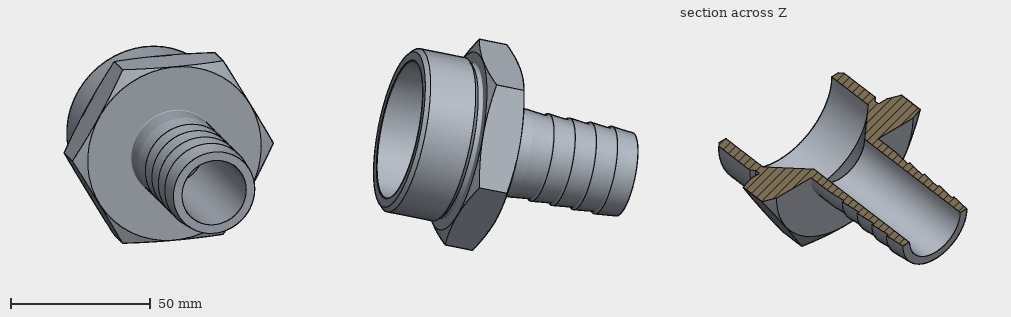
import cadquery as cq
import math

TOTAL_LENGTH = 85.0
HEX_START = 21.9
HEX_END = 36.0
THREAD_LENGTH = 20.0

THREAD_DIAMETER = 59.61
THREAD_ROOT_DIAMETER = 56.65
THREAD_CHAMFER = (THREAD_DIAMETER - THREAD_ROOT_DIAMETER) / 2

ACROSS_FLATS = 65.0
ACROSS_CORNERS = ACROSS_FLATS / math.cos(math.radians(30))
HEX_FACE_DIAMETER = 64.8
HEX_CHAMFER_ANGLE = 20.0
HEX_CORNER_FILLET = 0.3

TAIL_DIAMETER = 32.0
BARB_COUNT = 5
BARB_PITCH = 8.0
BARB_ROOT_DIAMETER = 30.4
BARB_FILLET = 0.5
BARBS_START = TOTAL_LENGTH - BARB_COUNT * BARB_PITCH

WIDE_BORE_DIAMETER = 50.0
WIDE_BORE_DEPTH = 20.0
WIDE_BORE_CHAMFER = 0.25
NARROW_BORE_DIAMETER = 24.0
FUNNEL_ANGLE = 45.0


def start_outline(x, radius):
    """Begin a half outline on the X axis and rise to the given radius."""
    return cq.Workplane("XY").moveTo(x, 0).lineTo(x, radius)


def spin(outline, x_end):
    """Bring a half outline back to the X axis at x_end and revolve it about that axis."""
    return outline.lineTo(x_end, 0).close().revolve(360, (0, 0, 0), (1, 0, 0))


def fillet_up(outline, wall_x, floor_radius, fillet):
    """Continue an outline in +X, curving from a cylinder up into a wall at wall_x."""
    middle = fillet * (1 - math.sqrt(0.5))
    outline = outline.lineTo(wall_x - fillet, floor_radius)
    return outline.threePointArc(
        (wall_x - middle, floor_radius + middle),
        (wall_x, floor_radius + fillet),
    )


def fillet_down(outline, wall_x, floor_radius, fillet):
    """Continue an outline in +X, curving from a wall at wall_x down onto a cylinder."""
    middle = fillet * (1 - math.sqrt(0.5))
    return outline.threePointArc(
        (wall_x + middle, floor_radius + middle),
        (wall_x + fillet, floor_radius),
    )


def threaded_end():
    """Cylinder at the thread's outer diameter, chamfered both ends, with a relief neck."""
    outer = THREAD_DIAMETER / 2
    root = THREAD_ROOT_DIAMETER / 2
    outline = start_outline(0, root)
    outline = outline.lineTo(THREAD_CHAMFER, outer)
    outline = outline.lineTo(THREAD_LENGTH - THREAD_CHAMFER, outer)
    outline = outline.lineTo(THREAD_LENGTH, root)
    outline = fillet_up(outline, HEX_START, root, HEX_CORNER_FILLET)
    return spin(outline, HEX_START)


def hexagon():
    """Hexagon with flats facing +Z and -Z and a conical chamfer on both faces."""
    width = HEX_END - HEX_START
    prism = cq.Workplane("YZ").workplane(offset=HEX_START).polygon(6, ACROSS_CORNERS).extrude(width)

    overrun = 1.0
    face_radius = HEX_FACE_DIAMETER / 2
    envelope_radius = ACROSS_CORNERS / 2 + overrun
    chamfer_length = (envelope_radius - face_radius) * math.tan(math.radians(HEX_CHAMFER_ANGLE))
    outline = start_outline(HEX_START, face_radius)
    outline = outline.lineTo(HEX_START + chamfer_length, envelope_radius)
    outline = outline.lineTo(HEX_END - chamfer_length, envelope_radius)
    outline = outline.lineTo(HEX_END, face_radius)
    return prism.intersect(spin(outline, HEX_END))


def hose_tail():
    """Plain neck followed by barbs that taper towards the open end."""
    crest = TAIL_DIAMETER / 2
    root = BARB_ROOT_DIAMETER / 2
    outline = start_outline(HEX_END, crest + HEX_CORNER_FILLET)
    outline = fillet_down(outline, HEX_END, crest, HEX_CORNER_FILLET)
    outline = outline.lineTo(BARBS_START, crest)
    for barb in range(1, BARB_COUNT):
        next_barb = BARBS_START + barb * BARB_PITCH
        outline = fillet_up(outline, next_barb, root, BARB_FILLET)
        outline = outline.lineTo(next_barb, crest)
    outline = outline.lineTo(TOTAL_LENGTH, root)
    return spin(outline, TOTAL_LENGTH)


def bore():
    """Wide bore with a chamfered mouth, funnelling down to a narrow through bore."""
    wide = WIDE_BORE_DIAMETER / 2
    narrow = NARROW_BORE_DIAMETER / 2
    funnel_length = (wide - narrow) / math.tan(math.radians(FUNNEL_ANGLE))
    outline = start_outline(0, wide + WIDE_BORE_CHAMFER)
    outline = outline.lineTo(WIDE_BORE_CHAMFER, wide)
    outline = outline.lineTo(WIDE_BORE_DEPTH, wide)
    outline = outline.lineTo(WIDE_BORE_DEPTH + funnel_length, narrow)
    outline = outline.lineTo(TOTAL_LENGTH, narrow)
    return spin(outline, TOTAL_LENGTH)


result = threaded_end().union(hexagon()).union(hose_tail()).cut(bore())